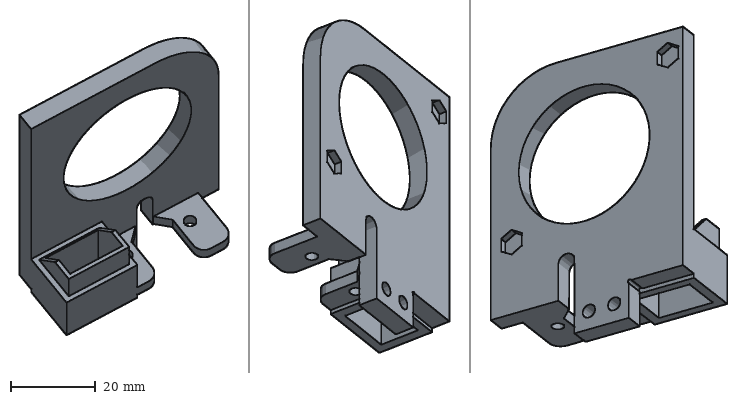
import cadquery as cq

plate_thickness = 5.0
plate_width = 53.0
plate_height = 73.8
plate_bottom = 9.95
corner_radius = 18.0

opening_diameter = 36.0
opening_y = 27.2
opening_z = 47.3

tab_y_min = 14.9
tab_y_max = 29.9
tab_hole_diameter = 3.4
tab_hole_z = 4.9
tab_hole_ys = (19.0, 25.9)
slot_width = 4.4
slot_top = 21.9
relief_radius = 0.5
relief_offset = 0.25

nut_centers = ((4.2, 67.3), (47.2, 29.2))
nut_across_corners = 6.65
nut_depth = 2.0

part_depth = 20.2
socket_width = 20.0
socket_bottom = 8.85
socket_top = 21.9
collar_top = 28.8
collar_x_min = 6.2
collar_x_max = 19.0
collar_y_min = 1.5
collar_y_max = 18.5
collar_wall = 1.1

ear_thickness = 3.0
ear_radius = 3.0
ear_gusset = 3.25
ear_hole_diameter = 3.0
ear_hole_x = 10.85
inner_ear_hole_y = 23.0
inner_ear_y_max = 26.2
outer_ear_hole_y = 41.0
outer_ear_y_min = 37.8
outer_ear_y_max = 47.15


def block(x_min, x_max, y_min, y_max, z_min, z_max):
    """Box given by its limits along each axis."""
    size = (x_max - x_min, y_max - y_min, z_max - z_min)
    return cq.Workplane("XY").box(*size, centered=False).translate((x_min, y_min, z_min))


def x_cylinder(y, z, diameter):
    """Cutter running through the plate along X."""
    return cq.Workplane("YZ").center(y, z).circle(diameter / 2).extrude(plate_thickness)


def make_plate():
    plate = block(0, plate_thickness, 0, plate_width, plate_bottom, plate_height)
    plate = plate.edges("|X and >Y and >Z").fillet(corner_radius)
    plate = plate.union(block(0, plate_thickness, tab_y_min, tab_y_max, 0, socket_top))
    plate = plate.cut(x_cylinder(opening_y, opening_z, opening_diameter))

    for hole_y in tab_hole_ys:
        plate = plate.cut(x_cylinder(hole_y, tab_hole_z, tab_hole_diameter))

    slot_y = tab_y_max + slot_width / 2
    slot_center_z = slot_top - slot_width / 2
    plate = plate.cut(x_cylinder(slot_y, slot_center_z, slot_width))
    slot_y_max = tab_y_max + slot_width
    plate = plate.cut(block(0, plate_thickness, tab_y_max, slot_y_max, 0, slot_center_z))

    relief_y = tab_y_min - relief_offset
    relief_z = plate_bottom - relief_offset
    plate = plate.cut(x_cylinder(relief_y, relief_z, 2 * relief_radius))

    for nut_y, nut_z in nut_centers:
        pocket = cq.Workplane("YZ").polygon(6, nut_across_corners).extrude(nut_depth)
        pocket = pocket.rotate((0, 0, 0), (1, 0, 0), 90)
        plate = plate.cut(pocket.translate((0, nut_y, nut_z)))
    return plate


def make_socket():
    body = block(plate_thickness, part_depth, 0, socket_width, socket_bottom, socket_top)

    collar_rise = collar_top - socket_top
    collar = (
        cq.Workplane("XZ", origin=(0, collar_y_min, 0))
        .moveTo(collar_x_min, socket_top)
        .lineTo(collar_x_min + collar_rise, collar_top)
        .lineTo(collar_x_max, collar_top)
        .lineTo(collar_x_max, socket_top)
        .close()
        .extrude(-(collar_y_max - collar_y_min))
    )
    bore = block(
        collar_x_min + collar_wall,
        collar_x_max - collar_wall,
        collar_y_min + collar_wall,
        collar_y_max - collar_wall,
        socket_bottom,
        collar_top,
    )
    return body.union(collar).cut(bore)


def make_ear(y_min, y_max, rounded_edges, gusset_y, gusset_direction, hole_y):
    """Flat ear with rounded rear corners, a gusset at the plate and one hole."""
    ear_top = plate_bottom + ear_thickness
    ear = block(plate_thickness, part_depth, y_min, y_max, plate_bottom, ear_top)
    ear = ear.edges(rounded_edges).fillet(ear_radius)
    gusset = (
        cq.Workplane("XY", origin=(plate_thickness, gusset_y, plate_bottom))
        .lineTo(ear_gusset, 0)
        .lineTo(0, gusset_direction * ear_gusset)
        .close()
        .extrude(ear_thickness)
    )
    hole = (
        cq.Workplane("XY", origin=(ear_hole_x, hole_y, plate_bottom))
        .circle(ear_hole_diameter / 2)
        .extrude(ear_thickness)
    )
    return ear.union(gusset).cut(hole)


inner_ear = make_ear(
    socket_width, inner_ear_y_max, "|Z and >X and >Y", inner_ear_y_max, 1, inner_ear_hole_y
)
outer_ear = make_ear(
    outer_ear_y_min, outer_ear_y_max, "|Z and >X", outer_ear_y_min, -1, outer_ear_hole_y
)

result = make_plate().union(make_socket()).union(inner_ear).union(outer_ear)